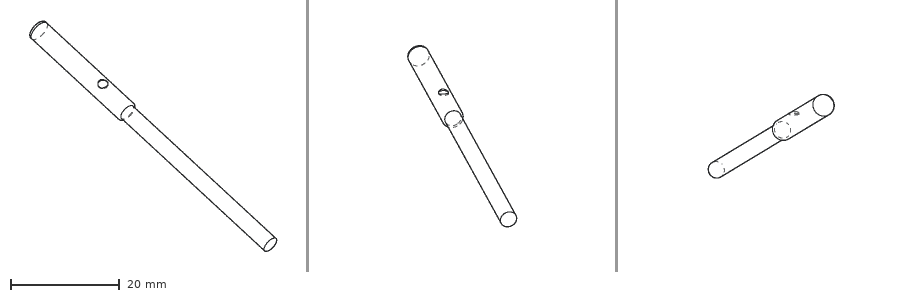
import cadquery as cq
total_length = 64.9
barrel_diameter = 4.0
barrel_length = 25.0
cap_thickness = 0.5
rim_fillet = 0.2
cable_diameter = 3.1
recess_diameter = 1.9
recess_position = 18.25
recess_floor = 1.7

front_x = -total_length / 2
cap_rear_x = front_x + cap_thickness
rear_x = front_x + barrel_length
recess_x = front_x + recess_position


def x_cylinder(diameter, start_x, end_x):
    """Cylinder on the X axis between two X positions."""
    return cq.Workplane("YZ", origin=(start_x, 0, 0)).circle(diameter / 2).extrude(end_x - start_x)


def make_cap():
    """Thin disc closing the front of the housing, rounded on its front rim."""
    disc = x_cylinder(barrel_diameter, front_x, cap_rear_x)
    return disc.faces("<X").edges().fillet(rim_fillet)


def make_housing():
    """Round housing with a rounded rear rim and a shallow flat-floored recess on top."""
    body = x_cylinder(barrel_diameter, cap_rear_x, rear_x).faces(">X").edges().fillet(rim_fillet)
    recess = (
        cq.Workplane("XY", origin=(recess_x, 0, recess_floor))
        .circle(recess_diameter / 2)
        .extrude(barrel_diameter / 2)
    )
    return body.cut(recess)


def make_cable():
    """Plain round cable that butts against the rear face of the housing."""
    return x_cylinder(cable_diameter, rear_x, front_x + total_length)


cap = make_cap()
housing = make_housing()
cable = make_cable()

result = cq.Compound.makeCompound([cap.val(), housing.val(), cable.val()])